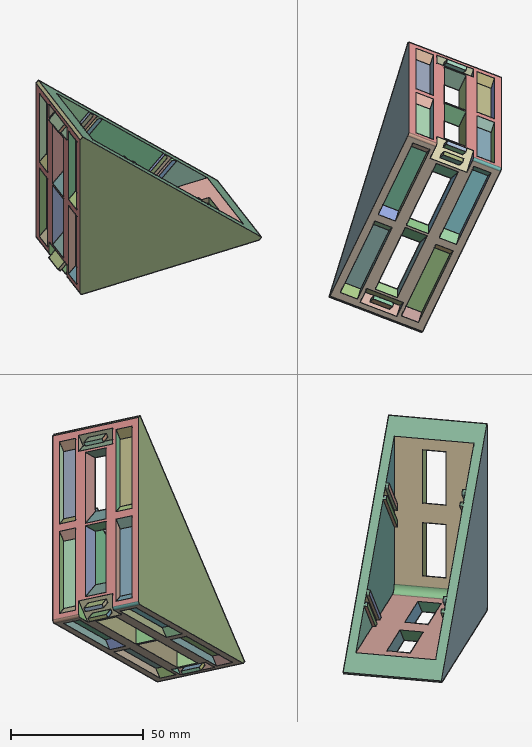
import cadquery as cq
import math


WIDTH = 38.0
LEG = 76.0
TIP_CHAMFER = 1.06
CORNER_RADIUS = 1.0
SLANT_SUM = LEG + TIP_CHAMFER

FLANGE_THICKNESS = 7.0
CAVITY_WIDTH = 30.8
CAVITY_CORNER_RADIUS = 3.0

WINDOW_WIDTH = 9.0
WINDOW_LENGTH = 28.5
WINDOW_STARTS = (7.5, 37.0)

POCKET_WIDTH = 7.0
POCKET_LENGTH = 33.0
POCKET_DEPTH = 3.0
POCKET_OFFSET = 12.5
POCKET_STARTS = (3.0, 39.0)

RECESS_WIDTH = 15.0
RECESS_HALF_HEIGHT = 3.2
CORNER_CUT = 6.4
RECESS_PITCH = 66.5
TAB_WIDTH = 8.0
TAB_THICKNESS = 1.5
TAB_REACH = 1.98
TAB_EDGE = 4.15
TAB_ROOT_OVERLAP = 0.5

RIB_HEIGHT = 1.2
RIB_WIDTH = 2.0
RIB_GAP = 2.8
RIB_LIP_RADIUS = 1.0
RIB_PAIR_OFFSET = 22.0


def swap(points):
    """Mirror a side profile about the plane Y = Z."""
    return [(z, y) for y, z in points]


def prism(points, width, x_center=0.0):
    """Extrude a side profile along X, centred on x_center."""
    profile = cq.Workplane("YZ").polyline(points).close()
    return profile.extrude(width / 2, both=True).translate((x_center, 0, 0))


def on_both_flanges(points, width, x_center=0.0):
    """A prism on the Y = 0 flange together with its twin on the Z = 0 flange."""
    return prism(points, width, x_center).union(prism(swap(points), width, x_center))


def make_body():
    outline = [
        (0, 0),
        (LEG - TIP_CHAMFER, 0),
        (LEG, TIP_CHAMFER),
        (TIP_CHAMFER, LEG),
        (0, LEG - TIP_CHAMFER),
    ]
    corner_edge = cq.selectors.NearestToPointSelector((0, 0, 0))
    return prism(outline, WIDTH).edges(corner_edge).fillet(CORNER_RADIUS)


def make_cavity():
    far_end = SLANT_SUM - FLANGE_THICKNESS
    outline = [
        (FLANGE_THICKNESS, FLANGE_THICKNESS),
        (far_end, FLANGE_THICKNESS),
        (FLANGE_THICKNESS, far_end),
    ]
    corner_edge = cq.selectors.NearestToPointSelector((0, FLANGE_THICKNESS, FLANGE_THICKNESS))
    return prism(outline, CAVITY_WIDTH).edges(corner_edge).fillet(CAVITY_CORNER_RADIUS)


def window(start):
    end = start + WINDOW_LENGTH
    outline = [
        (0, start),
        (FLANGE_THICKNESS, start + FLANGE_THICKNESS),
        (FLANGE_THICKNESS, end),
        (0, end),
    ]
    return on_both_flanges(outline, WINDOW_WIDTH)


def pocket(start, x_center):
    end = start + POCKET_LENGTH
    outline = [
        (0, start),
        (POCKET_DEPTH, start + POCKET_DEPTH),
        (POCKET_DEPTH, end - POCKET_DEPTH),
        (0, end),
    ]
    return on_both_flanges(outline, POCKET_WIDTH, x_center)


def corner_recess():
    return prism([(0, 0), (CORNER_CUT, 0), (0, CORNER_CUT)], RECESS_WIDTH)


def end_recess():
    top = RECESS_PITCH + CORNER_CUT
    outline = [
        (0, top),
        (RECESS_HALF_HEIGHT, top - RECESS_HALF_HEIGHT),
        (0, top - 2 * RECESS_HALF_HEIGHT),
    ]
    return on_both_flanges(outline, RECESS_WIDTH)


def tab(shift):
    """Plate tilted 45 degrees, sunk into the recess wall behind it, shifted along the flange."""
    half_diagonal = TAB_THICKNESS / math.sqrt(2)
    root = (CORNER_CUT - TAB_EDGE) / 2 + TAB_ROOT_OVERLAP
    edge = TAB_EDGE + shift
    outline = [
        (-TAB_REACH, edge - TAB_REACH),
        (root, edge + root),
        (root + half_diagonal, edge + root - half_diagonal),
        (half_diagonal - TAB_REACH, edge - TAB_REACH - half_diagonal),
    ]
    return on_both_flanges(outline, TAB_WIDTH)


def rib_pairs(cavity):
    """Pairs of ribs with rounded lips facing a gap: two pairs on each side wall, down to the flanges."""
    slant_frame = cq.Plane(
        origin=(0, SLANT_SUM / 2, SLANT_SUM / 2), xDir=(0, 1, -1), normal=(1, 0, 0)
    )
    half_gap = RIB_GAP / 2
    lip_drop = RIB_LIP_RADIUS * (1 - math.sqrt(0.5))
    beyond_flanges = -LEG
    ribs = cq.Workplane("YZ")
    for side in (-1, 1):
        for lean in (-1, 1):
            inner = RIB_PAIR_OFFSET * side + half_gap * lean
            outer = inner + RIB_WIDTH * lean
            lip_end = inner + RIB_LIP_RADIUS * lean
            rib = (
                cq.Workplane(slant_frame)
                .moveTo(outer, 0)
                .lineTo(lip_end, 0)
                .threePointArc((inner + lip_drop * lean, -lip_drop), (inner, -RIB_LIP_RADIUS))
                .lineTo(inner, beyond_flanges)
                .lineTo(outer, beyond_flanges)
                .close()
                .extrude(CAVITY_WIDTH / 2, both=True)
            )
            ribs = ribs.add(rib)
    clear_width = CAVITY_WIDTH - 2 * RIB_HEIGHT
    clear_middle = prism([(0, 0), (2 * LEG, 0), (0, 2 * LEG)], clear_width)
    return ribs.combine().intersect(cavity).cut(clear_middle)


cavity = make_cavity()
result = make_body().cut(cavity).union(rib_pairs(cavity))

for start in WINDOW_STARTS:
    result = result.cut(window(start))

for start in POCKET_STARTS:
    for x_center in (-POCKET_OFFSET, POCKET_OFFSET):
        result = result.cut(pocket(start, x_center))

result = result.cut(corner_recess()).cut(end_recess())

for shift in (0, RECESS_PITCH):
    result = result.union(tab(shift))